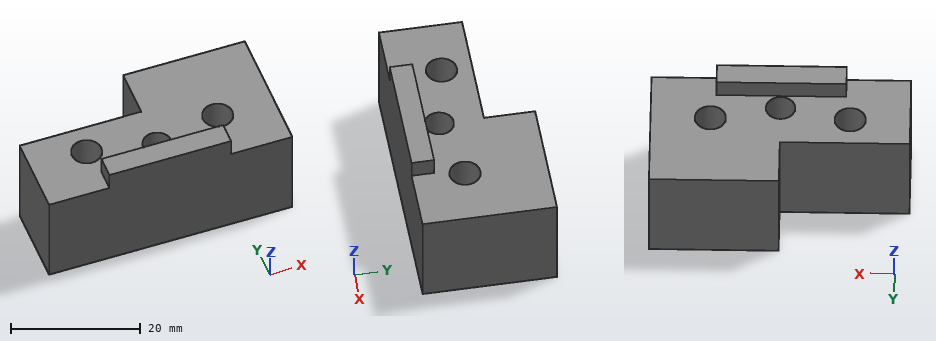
import cadquery as cq

length = 40.0
depth = 21.0
total_height = 19.25
lip_height = 3.0
block_height = total_height - lip_height
notch_length = length / 2
notch_depth = 8.0

lip_start = 9.9
lip_length = 20.0
lip_depth = 3.5

hole_mid_x = length / 2
outer_hole_diameter = 4.8
outer_hole_spacing = 21.5
outer_hole_y = 8.2
middle_hole_diameter = 4.5
middle_hole_y = 6.0


def box_at(x, y, z, size_x, size_y, size_z):
    """Box with its lowest corner at (x, y, z)."""
    return cq.Workplane("XY").box(size_x, size_y, size_z, centered=False).translate((x, y, z))


def through_hole(x, y, diameter):
    """Cylinder that spans the full height of the block."""
    return cq.Workplane("XY").center(x, y).circle(diameter / 2).extrude(block_height)


block = box_at(0, 0, 0, length, depth, block_height)
notch = box_at(0, depth - notch_depth, 0, notch_length, notch_depth, block_height)
lip = box_at(lip_start, 0, block_height, lip_length, lip_depth, lip_height)

result = block.cut(notch).union(lip)

for side in (-1, 1):
    outer_hole_x = hole_mid_x + side * outer_hole_spacing / 2
    result = result.cut(through_hole(outer_hole_x, outer_hole_y, outer_hole_diameter))

result = result.cut(through_hole(hole_mid_x, middle_hole_y, middle_hole_diameter))